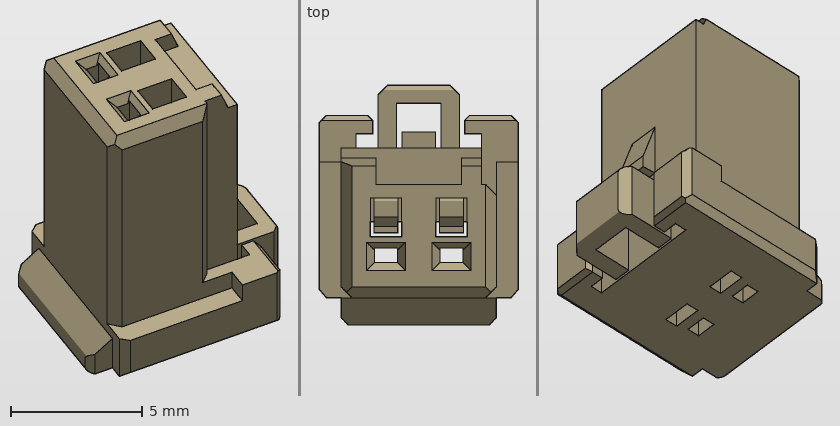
import cadquery as cq


body_width = 5.92
body_depth = 5.72
body_height = 11.3
body_chamfer = 0.42
ledge_z = 10.54
ledge_depth = 0.4
ledge_slope_depth = 0.69
top_slot_width = 3.28
recess_front_y = 4.33

flange_width = 7.6
flange_z = 1.91
flange_chamfer = 0.28
flange_front_chamfer_y = 0.33
arm_reach = 1.24
arm_top_z = 2.7
arm_step_y = body_depth - 0.54
arm_gap = 4.77
hook_gap = 3.5
hook_thickness = 0.71
hook_chamfer = 0.19
arm_edge_chamfer = 0.2

loop_width = 3.12
loop_reach = 2.4
loop_window_width = 1.7
loop_window_reach = 1.7
loop_bottom_z = 0.12
loop_top_z = 2.61
loop_corner = 0.37
loop_rounding = 0.28

catch_width = 1.29
catch_reach = 0.61
catch_root_z = 4.15
catch_tip_z = 4.1
catch_tip_top_z = 4.67
catch_top_z = 6.53

lip_reach = 1.04
lip_root_z = 1.49
lip_nose_z = 0.81
lip_rounding = 0.28
lip_corner = 0.28

pitch = 2.5
window_width = 1.2
window_front_y = 2.34
window_back_y = 3.81
shelf_front_y = 2.89
shelf_z = 5.65
entry_width = 0.86
entry_front_y = 1.36
entry_back_y = 1.9
entry_lead_in = 0.3
entry_rear_lead_in = 0.21

lance_width = 0.92
lance_rounding = 0.19
lance_tip_y = 2.47
lance_tip_height = 0.41
lance_step_y = 2.72
lance_step_height = 0.4
lance_flat_front_y = 3.08
lance_flat_back_y = 3.28
lance_flat_height = 0.82
lance_bend_y = 3.44
lance_bend_height = 0.85
lance_peak_height = 0.94

rear_tip_y = body_depth + arm_reach
contact_xs = (-pitch / 2, pitch / 2)


def block(x0, x1, y0, y1, z0, z1):
    """Box between opposite corner coordinates."""
    return cq.Workplane("XY").box(x1 - x0, y1 - y0, z1 - z0, centered=False).translate((x0, y0, z0))


def centred_block(width, y0, y1, z0, z1):
    """Box symmetric about X = 0."""
    return block(-width / 2, width / 2, y0, y1, z0, z1)


def side_profile(points, width):
    """Closed outline of (Y, Z) points extruded symmetrically about X = 0."""
    return cq.Workplane("YZ").polyline(points).close().extrude(width / 2, both=True)


def make_tower():
    tower = centred_block(body_width, 0, body_depth, 0, body_height)
    tower = tower.edges("|Z and <Y").chamfer(body_chamfer)
    half_width = body_width / 2
    recess = (
        cq.Workplane("XY")
        .workplane(offset=arm_top_z)
        .moveTo(half_width, recess_front_y - body_chamfer)
        .lineTo(half_width - body_chamfer, recess_front_y)
        .lineTo(arm_gap / 2, recess_front_y)
        .lineTo(arm_gap / 2, body_depth)
        .lineTo(half_width, body_depth)
        .close()
        .extrude(body_height - arm_top_z)
    )
    front_bevel = side_profile(
        [(0, body_height), (body_chamfer, body_height), (0, body_height - body_chamfer)], body_width
    )
    side_bevel = (
        cq.Workplane("XZ")
        .moveTo(half_width, body_height)
        .lineTo(half_width - body_chamfer, body_height)
        .lineTo(half_width, body_height - body_chamfer)
        .close()
        .extrude(-body_depth)
    )
    rear_ledge = side_profile(
        [
            (body_depth, ledge_z),
            (body_depth - ledge_depth, ledge_z),
            (body_depth - ledge_slope_depth, body_height),
            (body_depth, body_height),
        ],
        body_width,
    )
    top_slot = centred_block(top_slot_width, recess_front_y, body_depth, ledge_z, body_height)
    for cutter in (recess, front_bevel, side_bevel, side_bevel.mirror("YZ"), rear_ledge, top_slot):
        tower = tower.cut(cutter)
    return tower


def make_flange():
    half_width = flange_width / 2
    flange = centred_block(flange_width, 0, rear_tip_y, 0, arm_top_z)
    flange = flange.cut(centred_block(arm_gap, body_depth, rear_tip_y - hook_thickness, 0, arm_top_z))
    flange = flange.cut(centred_block(hook_gap, body_depth, rear_tip_y, 0, arm_top_z))
    flange = flange.cut(centred_block(flange_width, 0, arm_step_y, flange_z, arm_top_z))
    flange = flange.faces(">Y").edges("|X").chamfer(arm_edge_chamfer)
    flange = flange.faces("<Z").edges("<X or >X").chamfer(flange_chamfer)

    def corner(x, y, dx, dy):
        """Prism that bevels one vertical corner."""
        return (
            cq.Workplane("XY")
            .moveTo(x, y)
            .lineTo(x + dx, y)
            .lineTo(x, y + dy)
            .close()
            .extrude(arm_top_z)
        )

    corners = [
        corner(half_width, 0, -flange_chamfer, flange_front_chamfer_y),
        corner(half_width, rear_tip_y, -flange_chamfer, -flange_chamfer),
        corner(hook_gap / 2, rear_tip_y, hook_chamfer, -hook_chamfer),
    ]
    for cutter in corners:
        flange = flange.cut(cutter).cut(cutter.mirror("YZ"))
    return flange


def make_loop():
    tip_y = body_depth + loop_reach
    loop = centred_block(loop_width, body_depth, tip_y, loop_bottom_z, loop_top_z)
    loop = loop.edges("|Z and >Y").chamfer(loop_corner)
    loop = loop.faces(">Y").edges("|X").fillet(loop_rounding)
    window = centred_block(
        loop_window_width, body_depth, body_depth + loop_window_reach, loop_bottom_z, loop_top_z
    )
    return loop.cut(window)


def make_catch():
    tip_y = body_depth + catch_reach
    return side_profile(
        [
            (body_depth, catch_root_z),
            (tip_y, catch_tip_z),
            (tip_y, catch_tip_top_z),
            (body_depth, catch_top_z),
        ],
        catch_width,
    )


def make_lip():
    lip = side_profile([(0, 0), (-lip_reach, 0), (-lip_reach, lip_nose_z), (0, lip_root_z)], body_width)
    lip = lip.faces("<Y").edges("|X").fillet(lip_rounding)
    outline = centred_block(body_width, -lip_reach, 0, 0, lip_root_z)
    outline = outline.edges("|Z and <Y").chamfer(lip_corner)
    return lip.intersect(outline)


def make_cavity():
    """Window with its shelf, and the entry hole with a lead-in, for a contact at X = 0."""
    window = centred_block(window_width, window_front_y, window_back_y, shelf_z, body_height)
    window_outlet = centred_block(window_width, window_front_y, shelf_front_y, 0, shelf_z)
    entry = centred_block(entry_width, entry_front_y, entry_back_y, 0, body_height)
    mouth_front_y = entry_front_y - entry_lead_in
    mouth_back_y = entry_back_y + entry_rear_lead_in
    lead_in = (
        cq.Workplane("XY")
        .workplane(offset=body_height)
        .center(0, (mouth_front_y + mouth_back_y) / 2)
        .rect(entry_width + 2 * entry_lead_in, mouth_back_y - mouth_front_y)
        .extrude(-entry_lead_in, taper=45)
    )
    return window.union(window_outlet).union(entry).union(lead_in)


def make_lance():
    lance = side_profile(
        [
            (window_back_y, shelf_z),
            (lance_tip_y, shelf_z),
            (lance_tip_y, shelf_z + lance_tip_height),
            (lance_step_y, shelf_z + lance_step_height),
            (lance_flat_front_y, shelf_z + lance_flat_height),
            (lance_flat_back_y, shelf_z + lance_flat_height),
            (lance_bend_y, shelf_z + lance_bend_height),
            (window_back_y, shelf_z + lance_peak_height),
        ],
        lance_width,
    )
    return lance.edges("|X and >Y and >Z").fillet(lance_rounding)


result = make_tower()
for feature in (make_flange(), make_loop(), make_catch(), make_lip()):
    result = result.union(feature)
for contact_x in contact_xs:
    result = result.cut(make_cavity().translate((contact_x, 0, 0)))
    result = result.union(make_lance().translate((contact_x, 0, 0)))